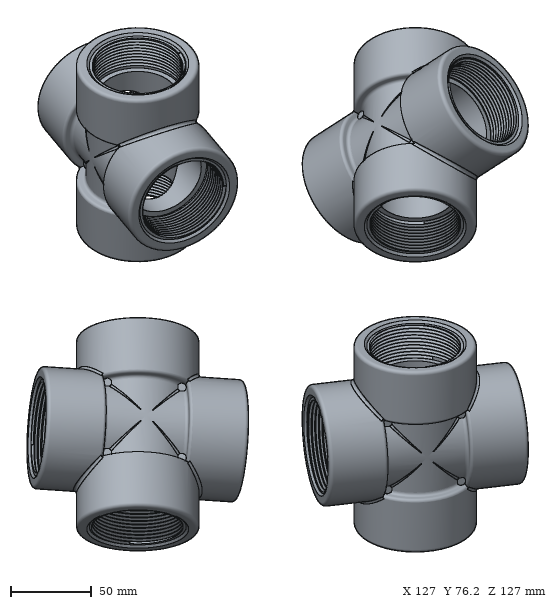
import cadquery as cq
import math

length = 127.0
socket_radius = 38.1
body_radius = 32.1
shoulder_position = 26.3
shoulder_round = 2.0
rim_round = 2.3
groove_round = 2.0
groove_start = 3.8
contact_share = 0.98

bore_radius = 49.3 / 2
socket_depth = 25.0
mouth_radius = 31.6

pin_radius = 2.8
pin_offset = shoulder_position - pin_radius
pin_height = 24.4

thread_minor_radius = 28.2
thread_depth = 1.9
thread_length = 22.2
thread_turns = 9.6
thread_end = 1.7
thread_end_angle = 90
flank_angle = 27.5
thread_overlap = 0.06

half_length = length / 2
ledge = half_length - socket_depth
mouth_depth = mouth_radius - thread_minor_radius - thread_depth


def turned_about_y(shape, angle):
    return shape.rotate((0, 0, 0), (0, 1, 0), angle)


def arm_outside():
    """Solid outside of one arm, from the centre up along Z."""
    corner = math.sqrt(0.5)
    root_radius = body_radius + shoulder_round
    root_height = shoulder_position - shoulder_round
    crest_radius = socket_radius - shoulder_round
    crest_height = shoulder_position + shoulder_round
    rim_radius = socket_radius - rim_round
    rim_height = half_length - rim_round
    profile = (
        cq.Workplane("XZ")
        .lineTo(body_radius, 0)
        .lineTo(body_radius, root_height)
        .threePointArc(
            (root_radius - shoulder_round * corner, root_height + shoulder_round * corner),
            (root_radius, shoulder_position),
        )
        .lineTo(crest_radius, shoulder_position)
        .threePointArc(
            (crest_radius + shoulder_round * corner, crest_height - shoulder_round * corner),
            (socket_radius, crest_height),
        )
        .lineTo(socket_radius, rim_height)
        .threePointArc(
            (rim_radius + rim_round * corner, rim_height + rim_round * corner),
            (rim_radius, half_length),
        )
        .lineTo(0, half_length)
        .close()
    )
    return profile.revolve(360, (0, 0, 0), (0, 1, 0))


def socket_cavity():
    """Room inside one socket, from the ledge up to the chamfered mouth."""
    profile = (
        cq.Workplane("XZ")
        .moveTo(0, ledge)
        .lineTo(thread_minor_radius, ledge)
        .lineTo(thread_minor_radius, half_length - mouth_depth)
        .lineTo(mouth_radius - mouth_depth, half_length - mouth_depth)
        .lineTo(mouth_radius, half_length)
        .lineTo(0, half_length)
        .close()
    )
    return profile.revolve(360, (0, 0, 0), (0, 1, 0))


def thread_groove():
    base = thread_minor_radius - thread_overlap
    tip = thread_minor_radius + thread_depth
    half_width = (tip - base) * math.tan(math.radians(flank_angle))
    path = cq.Wire.makeHelix(thread_length / thread_turns, thread_length, thread_minor_radius)
    groove = (
        cq.Workplane("XZ")
        .polyline([(base, -half_width), (tip, 0), (base, half_width)])
        .close()
        .sweep(cq.Workplane(path), isFrenet=True)
    )
    start_angle = thread_end_angle - 360 * thread_turns
    start_height = half_length - thread_end - thread_length
    return groove.rotate((0, 0, 0), (0, 0, 1), start_angle).translate((0, 0, start_height))


def diagonal_fillets(radius, start, end):
    """Rolling-ball fillets in one diagonal plane between two crossing cylinders.

    A ball touching both cylinders has its centre on an ellipse in the diagonal
    plane. The fillet fills a thin wedge about that plane, inside the ellipse,
    less the tube that the ball sweeps. start and end are distances from the
    centre, measured along either arm axis.
    """
    diagonal = math.sqrt(2)
    ball_height = radius + groove_round
    ball_reach = ball_height * diagonal
    contact_angle = math.atan(ball_height / radius) - math.pi / 4
    slope = contact_share * math.tan(contact_angle)

    path = cq.Workplane("XY").ellipse(ball_reach, ball_height)
    ball_tube = cq.Workplane("YZ", origin=(0, ball_height, 0)).circle(groove_round).sweep(path)
    core = cq.Workplane("XY").ellipse(ball_reach, ball_height).extrude(socket_radius, both=True)

    near = start * diagonal
    far = end * diagonal
    wedge = (
        cq.Workplane("XZ")
        .polyline([(near, -near * slope), (far, -far * slope), (far, far * slope), (near, near * slope)])
        .close()
        .extrude(ball_height, both=True)
    )
    fillet = wedge.intersect(core).cut(ball_tube)
    fillet = fillet.union(turned_about_y(fillet, 180))
    return turned_about_y(fillet, 45)


def corner_pins():
    """Pads in the corners between the shoulders, with flat ends facing -Y and +Y."""
    return (
        cq.Workplane("XZ")
        .rect(2 * pin_offset, 2 * pin_offset, forConstruction=True)
        .vertices()
        .circle(pin_radius)
        .extrude(pin_height, both=True)
    )


arm = arm_outside().cut(socket_cavity()).cut(thread_groove())
body_fillets = diagonal_fillets(body_radius, groove_start, pin_offset)
socket_fillets = diagonal_fillets(socket_radius, shoulder_position + shoulder_round / 2, half_length)

result = corner_pins()
for angle in [0, 90, 180, 270]:
    result = result.union(turned_about_y(arm, angle), clean=False)
for angle in [0, 90]:
    result = result.union(turned_about_y(body_fillets, angle), clean=False)
    result = result.union(turned_about_y(socket_fillets, angle), clean=False)

bore = cq.Workplane("XY").circle(bore_radius).extrude(half_length, both=True)
result = result.cut(bore.union(turned_about_y(bore, 90))).clean()